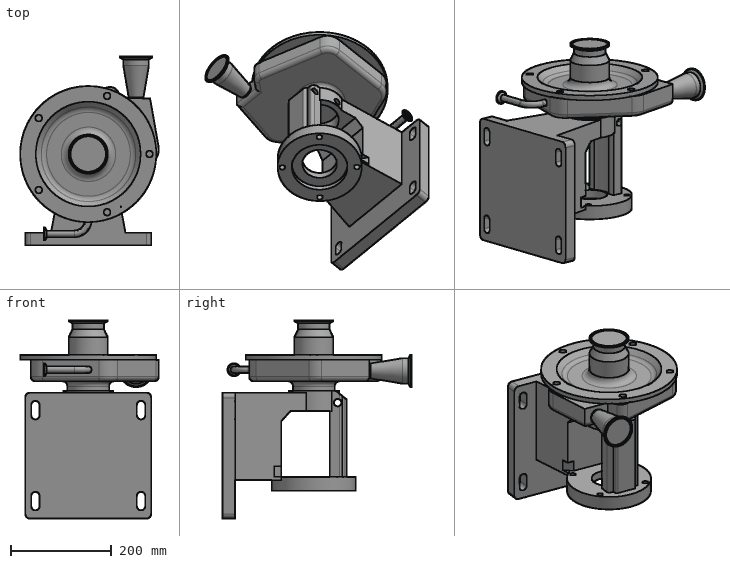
import cadquery as cq
import math


PLATE_SIZE = 250.0
PLATE_THICK = 25.2
PLATE_FRONT_Y = -181.2
PLATE_BACK_Y = PLATE_FRONT_Y + PLATE_THICK
PLATE_CORNER_R = 10.0
SLOT_WIDTH = 16.0
SLOT_LENGTH = 36.2
SLOT_PITCH_X = 209.5
SLOT_PITCH_Z = 180.5

RING_R = 83.5
RING_BORE_R = 34.3
RING_SPIGOT_R = 55.0
RING_SPIGOT_DEPTH = 11.5
RING_BOTTOM_Z = 55.0
RING_TOP_Z = 83.0
RING_BOLT_CIRCLE_R = 74.0
RING_BOLT_COUNT = 4
RING_BOLT_START_ANGLE = 45
RING_BOLT_R = 5.5

SLEEVE_R = 50.0
SLEEVE_BORE_R = 38.0
SLEEVE_BOTTOM_Z = 213.0
SLEEVE_TOP_Z = 253.5
SLEEVE_HOLE_R = 7.0
SLEEVE_HOLE_Z = 226.5

COLUMN_HALF_WIDTH = 35.5
COLUMN_FRONT_Y = 31.5
COLUMN_BACK_Y = 56.5
COLUMN_CORNER_R = 6.0
COLUMN_RIB_HALF_WIDTH = 23.5
COLUMN_RIB_BACK_Y = 65.8
COLUMN_RIB_CORNER_R = 4.7
COLUMN_TOP_BEVEL_Y = 44.0
COLUMN_BACK_TOP_Z = 236.0
COLUMN_HOLE_R = 7.0
COLUMN_HOLE_Y = 47.3
COLUMN_HOLE_Z = 230.0

ARM_START_Y = -14.5
ARM_ROOT_HALF_WIDTH = 74.0
ARM_BOTTOM_Z = 76.5
ARM_FACE_Y = -64.2
ARM_BEVEL_Y = -46.5
ARM_BEVEL_Z = 193.5
NOTCH_LEG = 14.0
NOTCH_TOP_Z = 104.5

FLANGE_R = 135.0
FLANGE_TOP_Z = 325.0
FLANGE_THICK = 10.0
FLANGE_BOLT_COUNT = 5
FLANGE_BOLT_CIRCLE_R = 121.5
FLANGE_BOLT_R = 6.7

HOUSING_TOP_Z = FLANGE_TOP_Z - FLANGE_THICK
HOUSING_BOTTOM_Z = 272.3
HOUSING_INRADIUS = 114.3
HOUSING_CORNER_R = 33.0
HOUSING_EDGE_R = 10.0
OUTLET_SIDE_OFFSET = 120.5
OUTLET_SIDE_CORNER_R = 17.7
OUTLET_FLANK_ANGLE = 10.0
OUTLET_CORNER_X = 123.0
OUTLET_FACE_Y = 110.5

RECESS_MOUTH_R = 104.0
RECESS_CONE_END_R = 93.8
RECESS_FILLET_R = 15.0
WALL_ARC_MID_ANGLE = -67.5

NECK_R = 41.8
NECK_FILLET_R = 9.0

FERRULE_RIM = 2.5
FERRULE_HEIGHT = 6.5
GASKET_GROOVE_INSET = 2.0
GASKET_GROOVE_WIDTH = 2.0
GASKET_GROOVE_DEPTH = 1.0

SUCTION_R = 39.0
SUCTION_NECK_R = 31.5
SUCTION_TOP_Z = 394.0
SUCTION_CONE_BOTTOM_Z = 360.0
SUCTION_CONE_TOP_Z = 375.5

DISCHARGE_X = 95.0
DISCHARGE_Z = 293.0
DISCHARGE_END_Y = 194.0
DISCHARGE_FERRULE_R = 32.5
DISCHARGE_PIPE_R = 25.5
DISCHARGE_CONE_TOP_Y = 175.7
DISCHARGE_CONE_BASE_Y = 112.5
DISCHARGE_CONE_BASE_R = 15.0
DISCHARGE_ROOT_R = 13.0

DRAIN_R = 6.7
DRAIN_BORE_R = 4.7
DRAIN_Y = -158.5
DRAIN_Z = 295.5
DRAIN_BEND_R = 27.5
DRAIN_END_X = -88.3
DRAIN_FERRULE_R = 13.0
DRAIN_INNER_Y = -106.5


def cylinder(radius, bottom, top):
    """Upright cylinder on the pump axis."""
    return cq.Workplane("XY").workplane(offset=bottom).circle(radius).extrude(top - bottom)


def cross_cylinder(radius, y, z, x_start, x_end):
    """Cylinder parallel to X."""
    return cq.Workplane("YZ", origin=(x_start, y, z)).circle(radius).extrude(x_end - x_start)


def box_between(x0, x1, y0, y1, z0, z1):
    return cq.Workplane("XY").box(x1 - x0, y1 - y0, z1 - z0, centered=False).translate((x0, y0, z0))


def polar(radius, degrees):
    angle = math.radians(degrees)
    return (radius * math.cos(angle), radius * math.sin(angle))


def side_corner(side_a, side_b):
    """Point where two sides meet; a side is (direction of its normal in degrees, offset)."""
    (angle_a, offset_a), (angle_b, offset_b) = side_a, side_b
    ax, ay = polar(1, angle_a)
    bx, by = polar(1, angle_b)
    det = ax * by - ay * bx
    return ((offset_a * by - offset_b * ay) / det, (ax * offset_b - bx * offset_a) / det)


def base_plate():
    plate = box_between(
        -PLATE_SIZE / 2, PLATE_SIZE / 2, PLATE_FRONT_Y, PLATE_BACK_Y, 0, PLATE_SIZE
    ).edges("|Y").fillet(PLATE_CORNER_R)
    slots = (
        cq.Workplane("XZ", origin=(0, PLATE_BACK_Y, PLATE_SIZE / 2))
        .rarray(SLOT_PITCH_X, SLOT_PITCH_Z, 2, 2)
        .slot2D(SLOT_LENGTH, SLOT_WIDTH, 90)
        .extrude(PLATE_THICK)
    )
    return plate.cut(slots)


def arm():
    """Tapered arm from the sleeve to the plate, stepped back below the sleeve."""
    start_x = math.sqrt(SLEEVE_R**2 - ARM_START_Y**2)
    flank_slope = (ARM_ROOT_HALF_WIDTH - start_x) / (ARM_START_Y - PLATE_BACK_Y)

    def half_width(y):
        return start_x + (ARM_START_Y - y) * flank_slope

    plan = (
        cq.Workplane("XY")
        .polyline([(-start_x, ARM_START_Y), (start_x, ARM_START_Y),
                   (ARM_ROOT_HALF_WIDTH, PLATE_BACK_Y), (-ARM_ROOT_HALF_WIDTH, PLATE_BACK_Y)])
        .close()
        .extrude(PLATE_SIZE)
    )
    side = (
        cq.Workplane("YZ")
        .polyline([(0, PLATE_SIZE), (0, SLEEVE_BOTTOM_Z), (ARM_BEVEL_Y, SLEEVE_BOTTOM_Z),
                   (ARM_FACE_Y, ARM_BEVEL_Z), (ARM_FACE_Y, ARM_BOTTOM_Z),
                   (PLATE_BACK_Y, ARM_BOTTOM_Z), (PLATE_BACK_Y, PLATE_SIZE)])
        .close()
        .extrude(ARM_ROOT_HALF_WIDTH, both=True)
    )
    body = plan.intersect(side)

    corner_x = half_width(ARM_FACE_Y)
    flank_x = half_width(ARM_FACE_Y - NOTCH_LEG)
    for sign in (-1, 1):
        notch = (
            cq.Workplane("XY").workplane(offset=RING_TOP_Z)
            .polyline([(sign * (corner_x - NOTCH_LEG), ARM_FACE_Y), (sign * flank_x, ARM_FACE_Y),
                       (sign * flank_x, ARM_FACE_Y - NOTCH_LEG)])
            .close()
            .extrude(NOTCH_TOP_Z - RING_TOP_Z)
        )
        body = body.cut(notch)
    return body


def column():
    """Column behind the bearing with a narrower rib on its back and a bevelled top."""
    block = box_between(-COLUMN_HALF_WIDTH, COLUMN_HALF_WIDTH, COLUMN_FRONT_Y, COLUMN_BACK_Y,
                        RING_TOP_Z, SLEEVE_TOP_Z)
    block = block.edges("|Z and >Y").fillet(COLUMN_CORNER_R)
    rib = box_between(-COLUMN_RIB_HALF_WIDTH, COLUMN_RIB_HALF_WIDTH, COLUMN_FRONT_Y,
                      COLUMN_RIB_BACK_Y, RING_TOP_Z, SLEEVE_TOP_Z)
    rib = rib.edges("|Z and >Y").fillet(COLUMN_RIB_CORNER_R)
    bevel = (
        cq.Workplane("YZ")
        .polyline([(COLUMN_TOP_BEVEL_Y, SLEEVE_TOP_Z), (COLUMN_RIB_BACK_Y, SLEEVE_TOP_Z),
                   (COLUMN_RIB_BACK_Y, COLUMN_BACK_TOP_Z)])
        .close()
        .extrude(COLUMN_HALF_WIDTH, both=True)
    )
    return block.union(rib).cut(bevel)


def bracket():
    ring = cylinder(RING_R, RING_BOTTOM_Z, RING_TOP_Z)
    sleeve = cylinder(SLEEVE_R, SLEEVE_BOTTOM_Z, SLEEVE_TOP_Z)
    body = sleeve.union(column()).union(arm())
    body = body.cut(cylinder(SLEEVE_BORE_R, RING_TOP_Z, SLEEVE_TOP_Z))
    body = body.union(ring)
    body = body.cut(cylinder(RING_BORE_R, RING_BOTTOM_Z, RING_TOP_Z))
    body = body.cut(cylinder(RING_SPIGOT_R, RING_BOTTOM_Z, RING_BOTTOM_Z + RING_SPIGOT_DEPTH))
    body = body.cut(
        cq.Workplane("XY").workplane(offset=RING_BOTTOM_Z)
        .polarArray(RING_BOLT_CIRCLE_R, RING_BOLT_START_ANGLE, 360, RING_BOLT_COUNT)
        .circle(RING_BOLT_R)
        .extrude(RING_TOP_Z - RING_BOTTOM_Z)
    )
    body = body.cut(cross_cylinder(COLUMN_HOLE_R, COLUMN_HOLE_Y, COLUMN_HOLE_Z, -SLEEVE_R, SLEEVE_R))
    return body.cut(cross_cylinder(SLEEVE_HOLE_R, 0, SLEEVE_HOLE_Z, -SLEEVE_R, 0))


def housing():
    side_step = 360 / FLANGE_BOLT_COUNT
    outlet_side = (side_step / 2, OUTLET_SIDE_OFFSET)
    plain_sides = [((k + 0.5) * side_step, HOUSING_INRADIUS) for k in range(1, FLANGE_BOLT_COUNT)]
    first_side, last_side = plain_sides[0], plain_sides[-1]

    flank_normal_x, flank_normal_y = polar(1, OUTLET_FLANK_ANGLE)
    flank_offset = OUTLET_CORNER_X * flank_normal_x + OUTLET_FACE_Y * flank_normal_y
    flank = (OUTLET_FLANK_ANGLE, flank_offset)
    outlet_face = (90, OUTLET_FACE_Y)

    lobe_corner = side_corner(outlet_side, first_side)
    round_corners = [side_corner(a, b) for a, b in zip(plain_sides, plain_sides[1:])]
    round_corners.append(side_corner(last_side, flank))
    outline = [side_corner(outlet_face, outlet_side), lobe_corner] + round_corners
    outline.append(side_corner(flank, outlet_face))

    body = (
        cq.Workplane("XY").workplane(offset=HOUSING_BOTTOM_Z)
        .polyline(outline).close()
        .extrude(HOUSING_TOP_Z - HOUSING_BOTTOM_Z)
    )
    mid_z = (HOUSING_BOTTOM_Z + HOUSING_TOP_Z) / 2

    def corner_edges(points):
        selector = cq.selectors.NearestToPointSelector((*points[0], mid_z))
        for point in points[1:]:
            selector = selector + cq.selectors.NearestToPointSelector((*point, mid_z))
        return selector

    body = body.edges(corner_edges(round_corners)).fillet(HOUSING_CORNER_R)
    body = body.edges(corner_edges([lobe_corner])).fillet(OUTLET_SIDE_CORNER_R)
    body = body.faces("<Z").edges().fillet(HOUSING_EDGE_R)

    flange = cylinder(FLANGE_R, HOUSING_TOP_Z, FLANGE_TOP_Z)
    bolt_holes = (
        cq.Workplane("XY").workplane(offset=HOUSING_TOP_Z)
        .polarArray(FLANGE_BOLT_CIRCLE_R, 0, 360, FLANGE_BOLT_COUNT)
        .circle(FLANGE_BOLT_R)
        .extrude(FLANGE_THICK)
    )
    return body.union(flange).cut(recess()).cut(bolt_holes)


def recess():
    """Dished recess: 45 degree wall, filleted floor and filleted root of the suction nozzle."""
    slant = math.sqrt(0.5)
    cone_end_z = FLANGE_TOP_Z - (RECESS_MOUTH_R - RECESS_CONE_END_R)
    floor_z = cone_end_z - RECESS_FILLET_R * (1 - slant)
    floor_r = RECESS_CONE_END_R - RECESS_FILLET_R * slant
    wall_arc_x, wall_arc_z = polar(RECESS_FILLET_R, WALL_ARC_MID_ANGLE)
    root_r = SUCTION_R + RECESS_FILLET_R
    root_z = floor_z + RECESS_FILLET_R
    return (
        cq.Workplane("XZ")
        .moveTo(SUCTION_R, FLANGE_TOP_Z + RECESS_FILLET_R)
        .lineTo(SUCTION_R, root_z)
        .threePointArc((root_r - RECESS_FILLET_R * slant, root_z - RECESS_FILLET_R * slant),
                       (root_r, floor_z))
        .lineTo(floor_r, floor_z)
        .threePointArc((floor_r + wall_arc_x, root_z + wall_arc_z), (RECESS_CONE_END_R, cone_end_z))
        .lineTo(RECESS_MOUTH_R, FLANGE_TOP_Z)
        .lineTo(RECESS_MOUTH_R, FLANGE_TOP_Z + RECESS_FILLET_R)
        .close()
        .revolve()
    )


def neck():
    """Neck between bearing sleeve and housing, flared into the housing's underside."""
    flare_z = HOUSING_BOTTOM_Z - NECK_FILLET_R
    flare_r = NECK_R + NECK_FILLET_R
    mid = NECK_FILLET_R * math.sqrt(0.5)
    return (
        cq.Workplane("XZ")
        .moveTo(0, SLEEVE_TOP_Z)
        .lineTo(NECK_R, SLEEVE_TOP_Z)
        .lineTo(NECK_R, flare_z)
        .threePointArc((flare_r - mid, flare_z + mid), (flare_r, HOUSING_BOTTOM_Z))
        .lineTo(0, HOUSING_BOTTOM_Z)
        .close()
        .revolve()
    )


def nozzle(root_profile, pipe_r, ferrule_r, end):
    """Solid of revolution about Y ending in a clamp ferrule with a gasket groove.

    root_profile holds (radius, distance along the axis) from the axis to the pipe's start.
    """
    groove_outer_r = ferrule_r - GASKET_GROOVE_INSET
    groove_inner_r = groove_outer_r - GASKET_GROOVE_WIDTH
    ferrule_profile = [
        (pipe_r, end - FERRULE_HEIGHT),
        (ferrule_r, end - FERRULE_RIM),
        (ferrule_r, end),
        (groove_outer_r, end),
        (groove_outer_r, end - GASKET_GROOVE_DEPTH),
        (groove_inner_r, end - GASKET_GROOVE_DEPTH),
        (groove_inner_r, end),
        (0, end),
    ]
    return cq.Workplane("XY").polyline(root_profile + ferrule_profile).close().revolve()


def suction_nozzle():
    profile = [
        (0, HOUSING_BOTTOM_Z),
        (SUCTION_R, HOUSING_BOTTOM_Z),
        (SUCTION_R, SUCTION_CONE_BOTTOM_Z),
        (SUCTION_NECK_R, SUCTION_CONE_TOP_Z),
    ]
    body = nozzle(profile, SUCTION_NECK_R, SUCTION_R, SUCTION_TOP_Z)
    return body.rotate((0, 0, 0), (1, 0, 0), 90)


def discharge_nozzle():
    base_y = OUTLET_FACE_Y - HOUSING_EDGE_R
    profile = [
        (0, base_y),
        (DISCHARGE_ROOT_R, base_y),
        (DISCHARGE_ROOT_R, DISCHARGE_CONE_BASE_Y),
        (DISCHARGE_CONE_BASE_R, DISCHARGE_CONE_BASE_Y),
        (DISCHARGE_PIPE_R, DISCHARGE_CONE_TOP_Y),
    ]
    body = nozzle(profile, DISCHARGE_PIPE_R, DISCHARGE_FERRULE_R, DISCHARGE_END_Y)
    return body.translate((DISCHARGE_X, 0, DISCHARGE_Z))


def drain_path():
    mid = DRAIN_BEND_R * math.sqrt(0.5)
    return (
        cq.Workplane("XY", origin=(0, 0, DRAIN_Z))
        .moveTo(DRAIN_END_X, DRAIN_Y)
        .lineTo(-DRAIN_BEND_R, DRAIN_Y)
        .threePointArc((mid - DRAIN_BEND_R, DRAIN_Y + DRAIN_BEND_R - mid), (0, DRAIN_Y + DRAIN_BEND_R))
        .lineTo(0, DRAIN_INNER_Y)
    )


def drain_sweep(radius):
    start = cq.Workplane("YZ", origin=(DRAIN_END_X, DRAIN_Y, DRAIN_Z))
    return start.circle(radius).sweep(drain_path())


def drain_ferrule():
    """Ferrule facing -X on a short stub that overlaps the straight drain pipe."""
    stub = [(0, -2 * FERRULE_HEIGHT), (DRAIN_R, -2 * FERRULE_HEIGHT)]
    body = nozzle(stub, DRAIN_R, DRAIN_FERRULE_R, 0)
    return body.rotate((0, 0, 0), (0, 0, 1), 90).translate((DRAIN_END_X, DRAIN_Y, DRAIN_Z))


result = (
    base_plate()
    .union(bracket())
    .union(neck())
    .union(housing())
    .union(suction_nozzle())
    .union(discharge_nozzle())
    .union(drain_sweep(DRAIN_R))
    .union(drain_ferrule())
    .cut(drain_sweep(DRAIN_BORE_R))
)